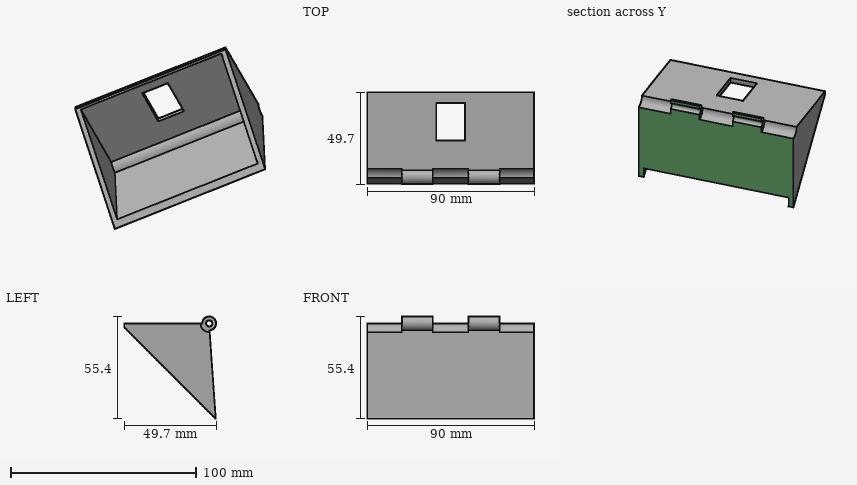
import cadquery as cq
import math

LENGTH = 90.0
TOP_DEPTH = 45.9
FRONT_HEIGHT = 51.6
FRONT_TILT = 4.0
WALL = 3.0

KNUCKLE_DIAMETER = 7.6
PIN_HOLE_DIAMETER = 3.2
KNUCKLE_LENGTH = 16.7
KNUCKLE_SPACING = 36.0
GROOVE_RADIUS = 4.7

WINDOW_WIDTH = 15.3
WINDOW_DEPTH = 20.2
WINDOW_BACK_MARGIN = 5.85

TILT = math.radians(FRONT_TILT)
TOE_Y = -FRONT_HEIGHT * math.tan(TILT)
BACK_EDGE_HEIGHT = FRONT_HEIGHT - (TOP_DEPTH - TOE_Y)
KNUCKLE_CENTERS = (-KNUCKLE_SPACING / 2, KNUCKLE_SPACING / 2)


def prism(points, length):
    """Extrude a YZ outline along X, centred on X = 0."""
    return cq.Workplane("YZ").polyline(points).close().extrude(length / 2, both=True)


def rod(radius, length, center_x=0.0):
    """Cylinder on the hinge axis."""
    start_x = center_x - length / 2
    return cq.Workplane("YZ", origin=(start_x, 0, 0)).circle(radius).extrude(length)


def wedge():
    return prism(
        [
            (0, 0),
            (TOP_DEPTH, 0),
            (TOP_DEPTH, -BACK_EDGE_HEIGHT),
            (TOE_Y, -FRONT_HEIGHT),
        ],
        LENGTH,
    )


def cavity():
    """Space behind the top and front plates, open through the sloping underside."""
    front_offset = WALL / math.cos(TILT)
    corner_y = front_offset - WALL * math.tan(TILT)
    low_y = front_offset + TOE_Y
    space = prism(
        [
            (corner_y, -WALL),
            (TOP_DEPTH, -WALL),
            (TOP_DEPTH, -FRONT_HEIGHT),
            (low_y, -FRONT_HEIGHT),
        ],
        LENGTH - 2 * WALL,
    )
    return space.cut(rod(GROOVE_RADIUS + WALL, LENGTH))


def window():
    center_y = TOP_DEPTH - WINDOW_BACK_MARGIN - WINDOW_DEPTH / 2
    return cq.Workplane("XY").center(0, center_y).rect(WINDOW_WIDTH, WINDOW_DEPTH).extrude(-WALL)


def hinge_groove():
    """Clearance for the mating knuckles, interrupted at this part's own knuckles."""
    groove = rod(GROOVE_RADIUS, LENGTH)
    for center_x in KNUCKLE_CENTERS:
        groove = groove.cut(rod(GROOVE_RADIUS, KNUCKLE_LENGTH, center_x))
    return groove


result = wedge().cut(cavity()).cut(window()).cut(hinge_groove())
for knuckle_x in KNUCKLE_CENTERS:
    result = result.union(rod(KNUCKLE_DIAMETER / 2, KNUCKLE_LENGTH, knuckle_x))
result = result.cut(rod(PIN_HOLE_DIAMETER / 2, LENGTH))